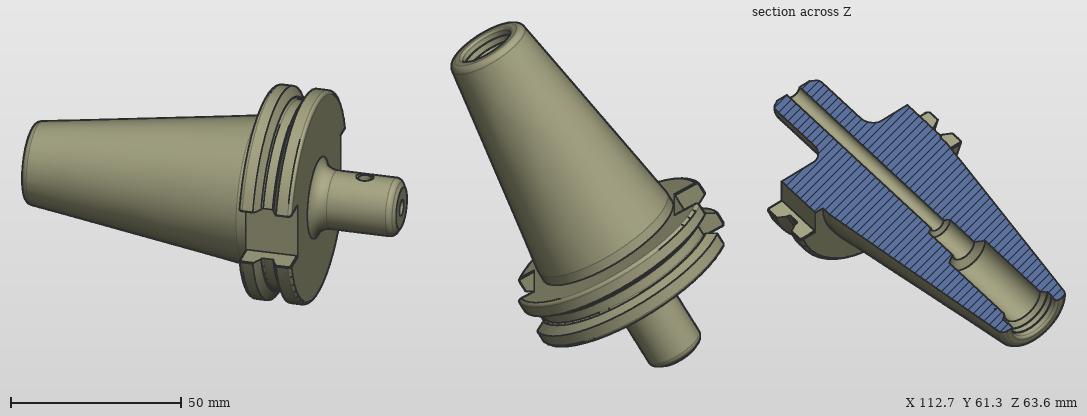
import cadquery as cq
import math

total_length = 112.7
taper_length = 68.3
gauge_diameter = 44.4
taper_ratio = 7 / 24
small_diameter = gauge_diameter - taper_length * taper_ratio
small_end_round = 2.0
collar_length = 3.2

flange_diameter = 63.6
flange_width = 15.9
flange_round = 1.0
flange_start = taper_length + collar_length
flange_end = flange_start + flange_width
groove_center = 79.3
groove_mouth_width = 7.1
groove_floor_width = 3.7
groove_floor_diameter = 56.1
groove_corner_round = 0.5
groove_flank_angle = 30.0

slot_width = 16.3
slot_chamfer = 0.3
slot_floor_plus_y = 25.0
slot_floor_minus_y = 22.7

shaft_diameter = 17.5
root_radius = 5.0
root_length = 4.7
tip_round = 2.0
tip_cone_angle = 60.0
tip_cone_length = 0.9

mouth_round = 0.8
mouth_diameter = 16.3
undercut_diameter = 16.8
undercut_start = 2.5
undercut_end = 4.5
thread_diameter = 13.5
thread_end = 31.5
thread_cone_angle = 45.0
relief_diameter = 8.0
relief_length = 11.3
passage_diameter = 4.7
drill_half_angle = 59.0

radial_hole_x = 101.5
radial_hole_diameter = 4.0
radial_countersink_diameter = 5.3
radial_countersink_angle = 60.0


def cone_length(large_diameter, small_diameter, half_angle):
    return (large_diameter - small_diameter) / 2 / math.tan(math.radians(half_angle))


def revolve_about_axis(profile):
    return profile.close().revolve(360, (0, 0, 0), (1, 0, 0))


def make_taper():
    profile = (
        cq.Workplane("XY")
        .lineTo(0, small_diameter / 2)
        .lineTo(taper_length, gauge_diameter / 2)
        .lineTo(flange_start, gauge_diameter / 2)
        .lineTo(flange_start, 0)
    )
    return revolve_about_axis(profile).faces("<X").edges().fillet(small_end_round)


def cut_drive_slot(disc, floor_distance, side):
    depth = flange_diameter / 2 - floor_distance
    middle = (flange_start + flange_width / 2, side * (floor_distance + depth / 2), 0)
    slot = cq.Workplane("XY").box(flange_width, depth, slot_width).translate(middle)
    slotted = disc.cut(slot)
    for wall_z in (-slot_width / 2, slot_width / 2):
        wall = slotted.faces(cq.selectors.NearestToPointSelector((middle[0], middle[1], wall_z)))
        floor_y = side * floor_distance
        outer_edges = wall.edges().filter(lambda edge: abs(edge.Center().y - floor_y) > slot_chamfer)
        slotted = outer_edges.chamfer(slot_chamfer)
    return slotted


def make_flange():
    disc = (
        cq.Workplane("YZ", origin=(flange_start, 0, 0))
        .circle(flange_diameter / 2)
        .extrude(flange_width)
        .edges()
        .fillet(flange_round)
    )
    rim_radius = flange_diameter / 2
    floor_radius = groove_floor_diameter / 2
    mouth_half = groove_mouth_width / 2
    floor_half = groove_floor_width / 2
    flank_depth = cone_length(groove_mouth_width, groove_floor_width, groove_flank_angle)
    wall_radius = rim_radius - flank_depth
    groove = revolve_about_axis(
        cq.Workplane("XY")
        .moveTo(groove_center - mouth_half, rim_radius)
        .lineTo(groove_center - floor_half, wall_radius)
        .lineTo(groove_center - floor_half, floor_radius)
        .lineTo(groove_center + floor_half, floor_radius)
        .lineTo(groove_center + floor_half, wall_radius)
        .lineTo(groove_center + mouth_half, rim_radius)
    )
    inner_corners = cq.selectors.RadiusNthSelector(0)
    groove = groove.edges(inner_corners).fillet(groove_corner_round)
    for floor_distance, side in ((slot_floor_plus_y, 1), (slot_floor_minus_y, -1)):
        disc = cut_drive_slot(disc, floor_distance, side)
    return disc.cut(groove)


def make_shaft():
    radius = shaft_diameter / 2
    root_end = flange_end + root_length
    root_center_r = radius + root_radius

    def root_point(x):
        return (x, root_center_r - math.sqrt(root_radius**2 - (root_end - x) ** 2))

    turn = math.radians(tip_cone_angle)
    tip_cone_start = total_length - tip_cone_length
    tip_start = tip_cone_start - tip_round * math.sin(turn)

    def tip_point(angle):
        return (
            tip_start + tip_round * math.sin(angle),
            radius - tip_round * (1 - math.cos(angle)),
        )

    end_radius = tip_point(turn)[1] - tip_cone_length * math.tan(turn)
    profile = (
        cq.Workplane("XY")
        .moveTo(flange_end, 0)
        .lineTo(*root_point(flange_end))
        .threePointArc(root_point(flange_end + root_length / 2), (root_end, radius))
        .lineTo(tip_start, radius)
        .threePointArc(tip_point(turn / 2), tip_point(turn))
        .lineTo(total_length, end_radius)
        .lineTo(total_length, 0)
    )
    return revolve_about_axis(profile)


def make_bore():
    mouth_radius = mouth_diameter / 2
    round_middle = mouth_round * (1 - math.sqrt(0.5))
    thread_start = undercut_end + cone_length(mouth_diameter, thread_diameter, thread_cone_angle)
    relief_start = thread_end + cone_length(thread_diameter, relief_diameter, drill_half_angle)
    relief_end = relief_start + relief_length
    passage_start = relief_end + cone_length(relief_diameter, passage_diameter, drill_half_angle)
    profile = (
        cq.Workplane("XY")
        .lineTo(0, mouth_radius + mouth_round)
        .threePointArc((round_middle, mouth_radius + round_middle), (mouth_round, mouth_radius))
        .lineTo(undercut_start, mouth_radius)
        .lineTo(undercut_start, undercut_diameter / 2)
        .lineTo(undercut_end, undercut_diameter / 2)
        .lineTo(undercut_end, mouth_radius)
        .lineTo(thread_start, thread_diameter / 2)
        .lineTo(thread_end, thread_diameter / 2)
        .lineTo(relief_start, relief_diameter / 2)
        .lineTo(relief_end, relief_diameter / 2)
        .lineTo(passage_start, passage_diameter / 2)
        .lineTo(total_length, passage_diameter / 2)
        .lineTo(total_length, 0)
    )
    return revolve_about_axis(profile)


def make_radial_hole():
    top = shaft_diameter / 2
    hole_radius = radial_hole_diameter / 2
    mouth_radius = radial_countersink_diameter / 2
    countersink_depth = cone_length(
        radial_countersink_diameter, radial_hole_diameter, radial_countersink_angle
    )
    return (
        cq.Workplane("XZ", origin=(radial_hole_x, 0, 0))
        .lineTo(hole_radius, 0)
        .lineTo(hole_radius, top - countersink_depth)
        .lineTo(mouth_radius, top)
        .lineTo(0, top)
        .close()
        .revolve(360, (0, 0, 0), (0, 1, 0))
    )


body = make_taper().union(make_flange()).union(make_shaft())
result = body.cut(make_bore()).cut(make_radial_hole())